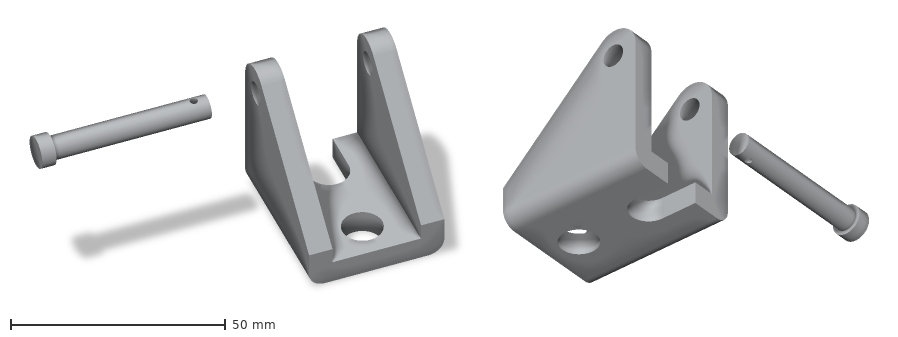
import cadquery as cq
import math

length = 40.0
height = 40.0
width = 34.0
wall = 5.9
bend_radius = 4.0
tip_radius = 6.0
end_height = 10.0
eye_diameter = 5.9
eye_x = 6.7
eye_z = 33.0

opening_diameter = 10.0
slot_center_x = 10.0
hole_x = 31.0

overall_depth = 89.3
shank_diameter = 5.9
shank_length = 39.5
head_diameter = 8.0
head_length = 3.6
pin_x = eye_x
pin_z = eye_z
cross_hole_diameter = 2.0
cross_hole_inset = 3.4

head_face_y = width / 2 - overall_depth


def cheek_profile():
    """Side outline, extruded across the bracket width."""
    run = length - tip_radius
    drop = height - tip_radius - end_height
    distance = math.hypot(run, drop)
    tangent_angle = math.acos(tip_radius / distance) - math.atan2(drop, run)
    arc_middle_angle = (math.pi + tangent_angle) / 2

    def tip_point(angle):
        return (
            tip_radius * (1 + math.cos(angle)),
            height - tip_radius + tip_radius * math.sin(angle),
        )

    return (
        cq.Workplane("XZ", origin=(0, width / 2, 0))
        .lineTo(length, 0)
        .lineTo(length, end_height)
        .lineTo(*tip_point(tangent_angle))
        .threePointArc(tip_point(arc_middle_angle), (0, height - tip_radius))
        .close()
        .extrude(width)
    )


def channel_space():
    """Empty space between the cheeks, above the base."""
    return cq.Workplane("XY").box(
        length, width - 2 * wall, height, centered=(False, True, False)
    ).translate((0, 0, wall))


def base_openings():
    """Open-ended slot and round hole through the base."""
    round_holes = (
        cq.Workplane("XY")
        .pushPoints([(slot_center_x, 0), (hole_x, 0)])
        .circle(opening_diameter / 2)
        .extrude(wall)
    )
    slot_mouth = cq.Workplane("XY").box(
        slot_center_x, opening_diameter, wall, centered=(False, True, False)
    )
    return round_holes.union(slot_mouth)


def eye_bore():
    """Pin hole through both cheeks."""
    return (
        cq.Workplane("XZ", origin=(eye_x, width / 2, eye_z))
        .circle(eye_diameter / 2)
        .extrude(width)
    )


def make_bracket():
    blank = cheek_profile().edges("|X and <Z").fillet(bend_radius)
    return blank.cut(channel_space()).cut(base_openings()).cut(eye_bore())


def make_pin():
    head = (
        cq.Workplane("XZ", origin=(pin_x, head_face_y, pin_z))
        .circle(head_diameter / 2)
        .extrude(-head_length)
    )
    shank = (
        cq.Workplane("XZ", origin=(pin_x, head_face_y + head_length, pin_z))
        .circle(shank_diameter / 2)
        .extrude(-shank_length)
    )
    tip_y = head_face_y + head_length + shank_length
    cross_hole = (
        cq.Workplane("XY", origin=(pin_x, tip_y - cross_hole_inset, pin_z))
        .circle(cross_hole_diameter / 2)
        .extrude(shank_diameter / 2, both=True)
    )
    return head.union(shank).cut(cross_hole)


bracket = make_bracket()
pin = make_pin()
result = cq.Compound.makeCompound([bracket.solids().val(), pin.solids().val()])